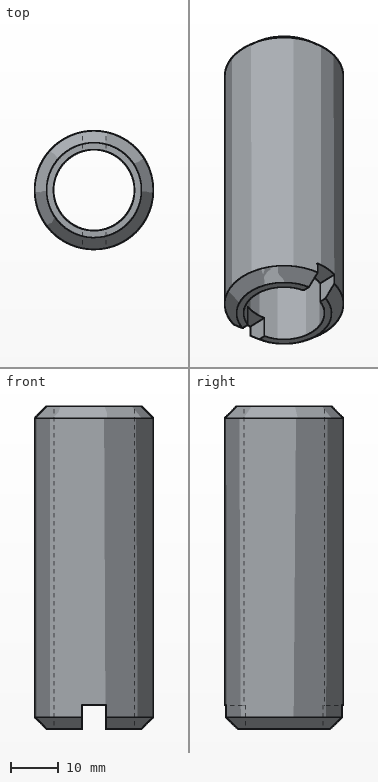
import cadquery as cq

length = 68.0
outer_diameter = 25.0
bore_diameter = 17.0
chamfer_size = 2.5
slot_width = 5.0
slot_depth = 5.0

sleeve = cq.Workplane("XY").circle(outer_diameter / 2).extrude(length)
sleeve = sleeve.faces("<Z or >Z").chamfer(chamfer_size)

bore = cq.Workplane("XY").circle(bore_diameter / 2).extrude(length)

slot = cq.Workplane("XY").box(
    slot_width, outer_diameter, slot_depth, centered=(True, True, False)
)

result = sleeve.cut(bore).cut(slot)